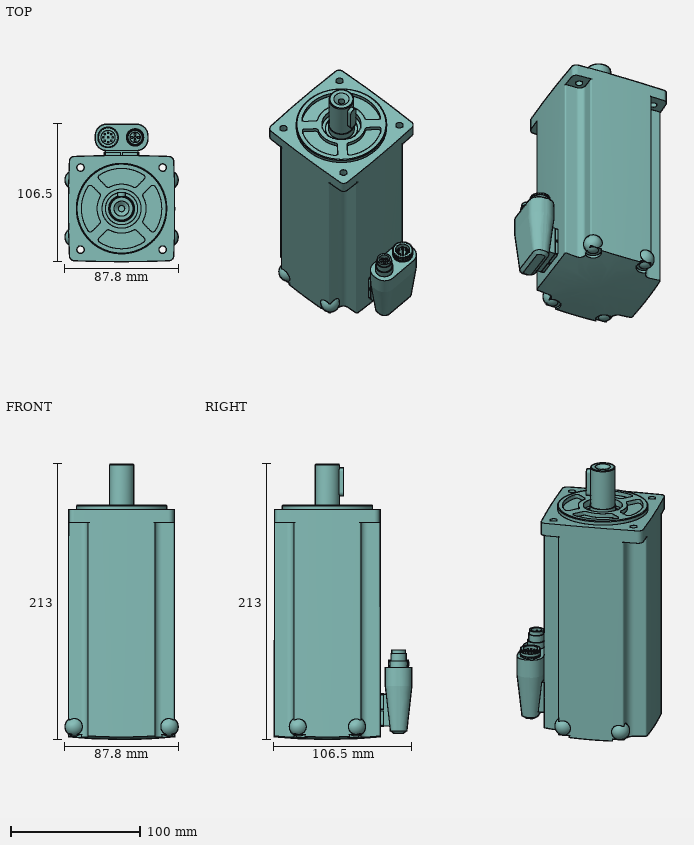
import cadquery as cq
import math


TOTAL_WIDTH = 87.8
TOTAL_DEPTH = 106.5
TOTAL_HEIGHT = 213.0
SHAFT_TOP = 35.0
REAR_TIP = SHAFT_TOP - TOTAL_HEIGHT

HALF_WIDTH = 41.1
CORNER_HALF_WIDTH = 40.3
CORNER_RADIUS = 4.0
REAR_DOME_RISE = 2.1
FLANGE_THICKNESS = 10.2
MOUNT_HOLE_DIAMETER = 5.5
MOUNT_HOLE_OFFSET = 31.7

NOTCH_HALF_SPACING = 26.0
NOTCH_FILLET = 5.1
NOTCH_EDGE_FILLET = 1.0

PILOT_DIAMETER = 70.0
PILOT_HEIGHT = 3.2
PILOT_CHAMFER = 0.6
POCKET_OUTER_RADIUS = 31.0
POCKET_INNER_RADIUS = 19.0
POCKET_CORNER_RADIUS = 2.1
SPOKE_WIDTH = 7.5
RECESS_DIAMETER = 30.2
RECESS_DEPTH = 5.1
SEAL_DIAMETER = 25.0
SEAL_DEPTH = 0.9

SHAFT_DIAMETER = 19.0
SHAFT_SHOULDER_DIAMETER = 20.0
SHAFT_CHAMFER = 0.6
CENTRE_RIM_DIAMETER = 11.7
CENTRE_CONE_DIAMETER = 9.5
CENTRE_RIM_DEPTH = 0.6
CENTRE_CONE_ANGLE = 90.0
CENTRE_BORE_DIAMETER = 5.0
CENTRE_BORE_DEPTH = 15.0
KEY_WIDTH = 6.0
KEY_LENGTH = 22.0
KEY_TOP_GAP = 2.8
KEY_CREST = 12.5

BALL_DIAMETER = 14.7
BALL_X = (TOTAL_WIDTH - BALL_DIAMETER) / 2
BALL_Y = 22.2
BALL_Z = REAR_TIP + 10.0
BALL_POCKET_DIAMETER = 13.2
BALL_POCKET_TOP = REAR_TIP + 4.0

HOUSING_WIDTH = 41.0
HOUSING_DEPTH = 20.7
HOUSING_FLAT = 2.5
HOUSING_REAR_Y = TOTAL_DEPTH - HALF_WIDTH
HOUSING_TOP = REAR_TIP + 55.8
HOUSING_STRAIGHT = 14.7
HOUSING_TAPERED = 34.3
HOUSING_TAPER = 6.4
HOUSING_FOOT = 2.1
HOUSING_FOOT_TAPER = 55.0
HOUSING_Y = HOUSING_REAR_Y - HOUSING_DEPTH / 2

PLATE_WIDTH = 26.8
PLATE_HEIGHT = 25.5
PLATE_THICKNESS = 2.1
PLATE_CORNER_RADIUS = 2.5
PLATE_Z = REAR_TIP + 22.8
PLATE_NOTCH_DIAMETER = 1.65
NECK_WIDTH = 25.5
NECK_HEIGHT = 24.7

CONNECTOR_X = 10.5
SOCKET_DIAMETER = 15.3
SOCKET_HEIGHT = 6.0
SOCKET_BAND_DIAMETER = 16.0
SOCKET_BAND_BOTTOM = 1.5
SOCKET_BAND_TOP = 4.0
SOCKET_BORE_DIAMETER = 10.9
SOCKET_BORE_DEPTH = 4.3
SOCKET_PIN_COUNT = 8
SOCKET_PIN_CIRCLE = 7.2
SOCKET_PIN_DIAMETER = 1.25
KNURL_COUNT = 24
KNURL_DIAMETER = 0.8
PLUG_BASE_DIAMETER = 13.5
PLUG_BASE_HEIGHT = 5.1
PLUG_DIAMETER = 12.0
PLUG_HEIGHT = 10.6
PLUG_TIP_DIAMETER = 10.9
PLUG_TIP_HEIGHT = 13.6
PLUG_BORE_DIAMETER = 8.0
PLUG_BORE_DEPTH = 4.3
PLUG_PIN_COUNT = 4
PLUG_PIN_CIRCLE = 5.0
PLUG_PIN_DIAMETER = 1.65
PIN_HEIGHT = 2.5


def cylinder(diameter, bottom, top, x=0.0, y=0.0):
    return cq.Workplane("XY", origin=(x, y, bottom)).circle(diameter / 2).extrude(top - bottom)


def motor_block():
    """Bulged square column with relieved corners behind the flange and a domed rear end."""
    c = CORNER_HALF_WIDTH
    m = HALF_WIDTH
    block = (
        cq.Workplane("XY", origin=(0, 0, REAR_TIP))
        .moveTo(-c, -c)
        .threePointArc((0, -m), (c, -c))
        .threePointArc((m, 0), (c, c))
        .threePointArc((0, m), (-c, c))
        .threePointArc((-m, 0), (-c, -c))
        .close()
        .extrude(-REAR_TIP)
        .edges("|Z")
        .fillet(CORNER_RADIUS)
    )

    notch_size = HALF_WIDTH
    notch_centre = NOTCH_HALF_SPACING + notch_size / 2
    notch_height = -FLANGE_THICKNESS - REAR_TIP
    for sx in (-1, 1):
        for sy in (-1, 1):
            notch = (
                cq.Workplane("XY", origin=(sx * notch_centre, sy * notch_centre, REAR_TIP))
                .rect(notch_size, notch_size)
                .extrude(notch_height)
                .edges("|Z")
                .fillet(NOTCH_FILLET)
            )
            block = block.cut(notch)

    middle_z = REAR_TIP / 2
    notch_rims = ((NOTCH_HALF_SPACING, HALF_WIDTH), (HALF_WIDTH, NOTCH_HALF_SPACING))
    for rim_x, rim_y in notch_rims:
        for sx in (-1, 1):
            for sy in (-1, 1):
                rim_point = (sx * rim_x, sy * rim_y, middle_z)
                block = block.edges(cq.NearestToPointSelector(rim_point)).fillet(NOTCH_EDGE_FILLET)

    dome_radius = (HALF_WIDTH**2 + REAR_DOME_RISE**2) / (2 * REAR_DOME_RISE)
    dome = cq.Workplane("XY", origin=(0, 0, REAR_TIP + dome_radius)).sphere(dome_radius)
    block = block.intersect(dome)

    holes = (
        cq.Workplane("XY", origin=(0, 0, -FLANGE_THICKNESS))
        .rect(2 * MOUNT_HOLE_OFFSET, 2 * MOUNT_HOLE_OFFSET, forConstruction=True)
        .vertices()
        .circle(MOUNT_HOLE_DIAMETER / 2)
        .extrude(FLANGE_THICKNESS)
    )
    return block.cut(holes)


def pilot():
    """Centring disc carrying four ring-sector pockets separated by diagonal spokes."""
    disc = cylinder(PILOT_DIAMETER, 0, PILOT_HEIGHT).faces(">Z").edges().chamfer(PILOT_CHAMFER)
    pockets = (
        cq.Workplane("XY")
        .circle(POCKET_OUTER_RADIUS)
        .circle(POCKET_INNER_RADIUS)
        .extrude(PILOT_HEIGHT)
    )
    for angle in (45, 135):
        spoke = (
            cq.Workplane("XY")
            .rect(PILOT_DIAMETER, SPOKE_WIDTH)
            .extrude(PILOT_HEIGHT)
            .rotate((0, 0, 0), (0, 0, 1), angle)
        )
        pockets = pockets.cut(spoke)
    return disc.cut(pockets.edges("|Z").fillet(POCKET_CORNER_RADIUS))


def shaft_recess():
    """Clearance bore around the shaft with a lower ring for the seal."""
    floor = PILOT_HEIGHT - RECESS_DEPTH
    bore = cylinder(RECESS_DIAMETER, floor, PILOT_HEIGHT)
    return bore.union(cylinder(SEAL_DIAMETER, floor - SEAL_DEPTH, floor))


def shaft():
    """Output shaft with a shoulder, a centre bore in its end and a round-ended key."""
    root = PILOT_HEIGHT - RECESS_DEPTH - SEAL_DEPTH
    body = cylinder(SHAFT_DIAMETER, root, SHAFT_TOP).faces(">Z").edges().chamfer(SHAFT_CHAMFER)
    body = body.union(cylinder(SHAFT_SHOULDER_DIAMETER, root, PILOT_HEIGHT))

    rim_radius = CENTRE_RIM_DIAMETER / 2
    cone_radius = CENTRE_CONE_DIAMETER / 2
    bore_radius = CENTRE_BORE_DIAMETER / 2
    cone_top = SHAFT_TOP - CENTRE_RIM_DEPTH
    cone_bottom = cone_top - (cone_radius - bore_radius) / math.tan(math.radians(CENTRE_CONE_ANGLE / 2))
    centre_bore = (
        cq.Workplane("XZ")
        .moveTo(0, SHAFT_TOP)
        .lineTo(rim_radius, SHAFT_TOP)
        .lineTo(cone_radius, cone_top)
        .lineTo(bore_radius, cone_bottom)
        .lineTo(bore_radius, SHAFT_TOP - CENTRE_BORE_DEPTH)
        .lineTo(0, SHAFT_TOP - CENTRE_BORE_DEPTH)
        .close()
        .revolve(360, (0, 0, 0), (0, 1, 0))
    )

    key_root = rim_radius
    key_z = SHAFT_TOP - KEY_TOP_GAP - KEY_LENGTH / 2
    key = (
        cq.Workplane("XZ", origin=(0, key_root, key_z))
        .slot2D(KEY_LENGTH, KEY_WIDTH, 90)
        .extrude(key_root - KEY_CREST)
    )
    return body.cut(centre_bore).union(key)


def add_balls(body):
    """Four balls near the rear corners, each sitting in a shallow round pocket open to the rear."""
    for sx in (-1, 1):
        for sy in (-1, 1):
            x = sx * BALL_X
            y = sy * BALL_Y
            ball = cq.Workplane("YZ", origin=(x, y, BALL_Z)).sphere(BALL_DIAMETER / 2)
            body = body.cut(cylinder(BALL_POCKET_DIAMETER, REAR_TIP, BALL_POCKET_TOP, x, y))
            body = body.union(ball)
    return body


def housing_section(z, width, depth):
    corner_radius = (depth - HOUSING_FLAT) / 2
    sketch = cq.Sketch().rect(width, depth).vertices().fillet(corner_radius)
    return cq.Workplane("XY", origin=(0, HOUSING_Y, z)).placeSketch(sketch)


def connector_housing():
    """Rounded box, straight at the top, tapering downward to a sloped foot."""
    taper_top = HOUSING_TOP - HOUSING_STRAIGHT
    foot_top = taper_top - HOUSING_TAPERED
    shrink = 2 * HOUSING_TAPERED * math.tan(math.radians(HOUSING_TAPER))

    straight = housing_section(taper_top, HOUSING_WIDTH, HOUSING_DEPTH).extrude(HOUSING_STRAIGHT)
    tapered = housing_section(taper_top, HOUSING_WIDTH, HOUSING_DEPTH).extrude(
        -HOUSING_TAPERED, taper=HOUSING_TAPER
    )
    foot = housing_section(foot_top, HOUSING_WIDTH - shrink, HOUSING_DEPTH - shrink).extrude(
        -HOUSING_FOOT, taper=HOUSING_FOOT_TAPER
    )
    return straight.union(tapered).union(foot)


def connector_mount():
    """Base plate on the +Y side of the motor and the neck that joins it to the housing."""
    plate_face = HALF_WIDTH + PLATE_THICKNESS
    root = CORNER_HALF_WIDTH - PLATE_THICKNESS
    plate = (
        cq.Workplane("XZ", origin=(0, root, PLATE_Z))
        .rect(PLATE_WIDTH, PLATE_HEIGHT)
        .extrude(root - plate_face)
        .edges("|Y")
        .fillet(PLATE_CORNER_RADIUS)
    )
    notches = (
        cq.Workplane("XZ", origin=(0, HALF_WIDTH, PLATE_Z))
        .pushPoints([
            (-PLATE_WIDTH / 2, 0), (PLATE_WIDTH / 2, 0),
            (0, -PLATE_HEIGHT / 2), (0, PLATE_HEIGHT / 2),
        ])
        .circle(PLATE_NOTCH_DIAMETER / 2)
        .extrude(-PLATE_THICKNESS)
    )
    neck = (
        cq.Workplane("XZ", origin=(0, HALF_WIDTH, PLATE_Z))
        .rect(NECK_WIDTH, NECK_HEIGHT)
        .extrude(HALF_WIDTH - HOUSING_Y)
    )
    return plate.cut(notches).union(neck)


def pins(x, floor, count, circle, diameter):
    """A ring of contact pins around one centre pin."""
    ring = (
        cq.Workplane("XY", origin=(x, HOUSING_Y, floor))
        .polarArray(circle / 2, 0, 360, count)
        .circle(diameter / 2)
        .extrude(PIN_HEIGHT)
    )
    return ring.union(cylinder(diameter, floor, floor + PIN_HEIGHT, x, HOUSING_Y))


def socket():
    """Low connector on the -X side: a knurled collar with a smooth band, around a wide bore."""
    x = -CONNECTOR_X
    rim = HOUSING_TOP + SOCKET_HEIGHT
    floor = rim - SOCKET_BORE_DEPTH
    collar = cylinder(SOCKET_DIAMETER, HOUSING_TOP, rim, x, HOUSING_Y)
    knurl = (
        cq.Workplane("XY", origin=(x, HOUSING_Y, HOUSING_TOP))
        .polarArray(SOCKET_DIAMETER / 2, 0, 360, KNURL_COUNT)
        .circle(KNURL_DIAMETER / 2)
        .extrude(SOCKET_HEIGHT)
    )
    band_bottom = HOUSING_TOP + SOCKET_BAND_BOTTOM
    band_top = HOUSING_TOP + SOCKET_BAND_TOP
    band = cylinder(SOCKET_BAND_DIAMETER, band_bottom, band_top, x, HOUSING_Y)
    bore = cylinder(SOCKET_BORE_DIAMETER, floor, rim, x, HOUSING_Y)
    contacts = pins(x, floor, SOCKET_PIN_COUNT, SOCKET_PIN_CIRCLE, SOCKET_PIN_DIAMETER)
    return collar.cut(knurl).union(band).cut(bore).union(contacts)


def plug():
    """Tall connector on the +X side: a barrel stepped twice, with a bore in its tip."""
    x = CONNECTOR_X
    tip = HOUSING_TOP + PLUG_TIP_HEIGHT
    floor = tip - PLUG_BORE_DEPTH
    barrel = cylinder(PLUG_BASE_DIAMETER, HOUSING_TOP, HOUSING_TOP + PLUG_BASE_HEIGHT, x, HOUSING_Y)
    barrel = barrel.union(cylinder(PLUG_DIAMETER, HOUSING_TOP, HOUSING_TOP + PLUG_HEIGHT, x, HOUSING_Y))
    barrel = barrel.union(cylinder(PLUG_TIP_DIAMETER, HOUSING_TOP, tip, x, HOUSING_Y))
    bore = cylinder(PLUG_BORE_DIAMETER, floor, tip, x, HOUSING_Y)
    return barrel.cut(bore).union(pins(x, floor, PLUG_PIN_COUNT, PLUG_PIN_CIRCLE, PLUG_PIN_DIAMETER))


motor = motor_block().union(pilot()).cut(shaft_recess()).union(shaft())
motor = add_balls(motor)
motor = motor.union(connector_mount()).union(connector_housing())
result = motor.union(socket()).union(plug())